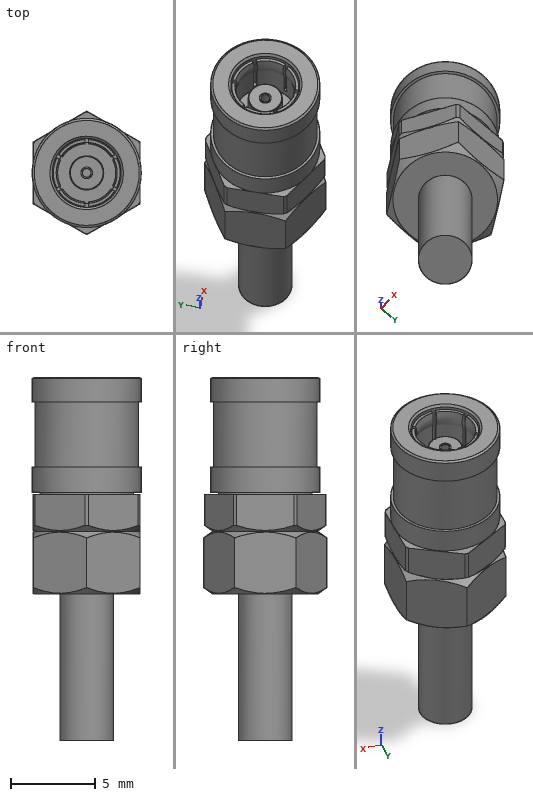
import cadquery as cq
import math

TOTAL_HEIGHT = 21.6
NUT_BOTTOM = 8.7
NUT_HEIGHT = 3.74
BODY_HEX_HEIGHT = 2.2
NECK_HEIGHT = 0.1
LOWER_RING_HEIGHT = 1.51
UPPER_RING_HEIGHT = 1.47

NUT_TOP = NUT_BOTTOM + NUT_HEIGHT
BODY_HEX_TOP = NUT_TOP + BODY_HEX_HEIGHT
LOWER_RING_BOTTOM = BODY_HEX_TOP + NECK_HEIGHT
LOWER_RING_TOP = LOWER_RING_BOTTOM + LOWER_RING_HEIGHT
UPPER_RING_BOTTOM = TOTAL_HEIGHT - UPPER_RING_HEIGHT

TAIL_RADIUS = 1.6
RING_DIAMETER = 6.5
RING_RADIUS = RING_DIAMETER / 2
BARREL_RADIUS = 3.09
NECK_RADIUS = 2.79
HEX_CORNER_DIAMETER = 7.35
BODY_HEX_CORNER_RADIUS = 3.6
HEX_END_RADIUS = 3.1
HEX_CHAMFER_ANGLE = 35.0
RIM_CHAMFER_WIDTH = 0.13
RIM_CHAMFER_HEIGHT = 0.09

MOUTH_RADIUS = 2.18
BORE_RADIUS = 2.05
MOUTH_CHAMFER_DEPTH = 0.13
FINGER_RADIUS = 1.99
SOCKET_RADIUS = 1.81
LIP_RADIUS = 1.73
FINGER_DEPTH = 0.25
LIP_HEIGHT = 1.04
SLOT_BOTTOM_DEPTH = 2.8
SOCKET_DEPTH = 3.24
SLOT_COUNT = 6
SLOT_WIDTH = 0.22
FIRST_SLOT_ANGLE = 30.0

POST_RADIUS = 1.01
POST_TOP_DEPTH = 1.51
POST_CHAMFER = 0.05
CONTACT_RADIUS = 0.35
CONTACT_RECESS = 0.05
CONTACT_HOLE_RADIUS = 0.25
CONTACT_HOLE_DEPTH = 1.51


def cylinder(radius, bottom, top):
    return cq.Workplane("XY").workplane(offset=bottom).circle(radius).extrude(top - bottom)


def turned(outline):
    """Revolve a closed outline of radius and height around the Z axis."""
    return outline.close().revolve(360, (0, 0, 0), (0, 1, 0))


def hexagon(bottom, top):
    """Hexagonal prism with two corners on the Y axis."""
    return (
        cq.Workplane("XY")
        .workplane(offset=bottom)
        .transformed(rotate=(0, 0, 90))
        .polygon(6, HEX_CORNER_DIAMETER)
        .extrude(top - bottom)
    )


def hex_envelope(bottom, top, corner_radius, chamfer_top):
    """Turned blank that bevels the corners of a hexagon at its bottom and, if asked, at its top."""
    bevel_width = corner_radius - HEX_END_RADIUS
    bevel_height = bevel_width * math.tan(math.radians(HEX_CHAMFER_ANGLE))
    outline = (
        cq.Workplane("XZ")
        .moveTo(0, bottom)
        .lineTo(HEX_END_RADIUS, bottom)
        .lineTo(corner_radius, bottom + bevel_height)
    )
    if chamfer_top:
        outline = outline.lineTo(corner_radius, top - bevel_height).lineTo(HEX_END_RADIUS, top)
    else:
        outline = outline.lineTo(corner_radius, top)
    return turned(outline.lineTo(0, top))


def beveled_hexagon(bottom, top, corner_radius, chamfer_top):
    return hexagon(bottom, top).intersect(hex_envelope(bottom, top, corner_radius, chamfer_top))


def body_outside():
    """Body hexagon, neck and the barrel with a ring at each end."""
    base = beveled_hexagon(NUT_TOP, BODY_HEX_TOP, BODY_HEX_CORNER_RADIUS, chamfer_top=False)
    barrel = turned(
        cq.Workplane("XZ")
        .moveTo(0, BODY_HEX_TOP)
        .lineTo(NECK_RADIUS, BODY_HEX_TOP)
        .lineTo(NECK_RADIUS, LOWER_RING_BOTTOM)
        .lineTo(RING_RADIUS, LOWER_RING_BOTTOM)
        .lineTo(RING_RADIUS, LOWER_RING_TOP)
        .lineTo(BARREL_RADIUS, LOWER_RING_TOP)
        .lineTo(BARREL_RADIUS, UPPER_RING_BOTTOM)
        .lineTo(RING_RADIUS, UPPER_RING_BOTTOM)
        .lineTo(RING_RADIUS, TOTAL_HEIGHT - RIM_CHAMFER_HEIGHT)
        .lineTo(RING_RADIUS - RIM_CHAMFER_WIDTH, TOTAL_HEIGHT)
        .lineTo(0, TOTAL_HEIGHT)
    )
    return base.union(barrel)


def socket_cavity():
    """Chamfered bore, then the narrower space inside the fingers with its rounded inward lip."""
    finger_top = TOTAL_HEIGHT - FINGER_DEPTH
    lip_bottom = finger_top - LIP_HEIGHT
    socket_floor = TOTAL_HEIGHT - SOCKET_DEPTH
    return turned(
        cq.Workplane("XZ")
        .moveTo(0, TOTAL_HEIGHT)
        .lineTo(MOUTH_RADIUS, TOTAL_HEIGHT)
        .lineTo(BORE_RADIUS, TOTAL_HEIGHT - MOUTH_CHAMFER_DEPTH)
        .lineTo(BORE_RADIUS, finger_top)
        .lineTo(SOCKET_RADIUS, finger_top)
        .threePointArc((LIP_RADIUS, finger_top - LIP_HEIGHT / 2), (SOCKET_RADIUS, lip_bottom))
        .lineTo(SOCKET_RADIUS, socket_floor)
        .lineTo(0, socket_floor)
    )


def finger_gaps():
    """Radial slots that divide the socket wall into spring fingers, and the thin gap around the fingers."""
    slot_bottom = TOTAL_HEIGHT - SLOT_BOTTOM_DEPTH
    finger_top = TOTAL_HEIGHT - FINGER_DEPTH
    bore = cylinder(BORE_RADIUS, slot_bottom, finger_top)
    gaps = bore.cut(cylinder(FINGER_RADIUS, slot_bottom, finger_top))
    for index in range(SLOT_COUNT // 2):
        opposite_slots = (
            cq.Workplane("XY")
            .workplane(offset=slot_bottom)
            .transformed(rotate=(0, 0, FIRST_SLOT_ANGLE + index * 360 / SLOT_COUNT))
            .rect(RING_DIAMETER, SLOT_WIDTH)
            .extrude(finger_top - slot_bottom)
        )
        gaps = gaps.union(opposite_slots.intersect(bore))
    return gaps


def insulator_post():
    """Round post on the socket floor, with a contact socket set slightly below its top face."""
    post_top = TOTAL_HEIGHT - POST_TOP_DEPTH
    contact_top = post_top - CONTACT_RECESS
    post = cylinder(POST_RADIUS, TOTAL_HEIGHT - SOCKET_DEPTH, post_top).faces(">Z").chamfer(POST_CHAMFER)
    contact_recess = cylinder(CONTACT_RADIUS, contact_top, post_top)
    contact_hole = cylinder(CONTACT_HOLE_RADIUS, contact_top - CONTACT_HOLE_DEPTH, contact_top)
    return post.cut(contact_recess).cut(contact_hole)


def connector_body():
    shell = body_outside().cut(socket_cavity()).cut(finger_gaps())
    return shell.union(insulator_post())


def clamp_nut():
    """Hexagonal nut, beveled at both ends, with the round tail tube below it."""
    nut = beveled_hexagon(NUT_BOTTOM, NUT_TOP, HEX_CORNER_DIAMETER / 2, chamfer_top=True)
    return nut.union(cylinder(TAIL_RADIUS, 0, NUT_BOTTOM))


body = connector_body()
nut = clamp_nut()
result = cq.Compound.makeCompound([body.val(), nut.val()])